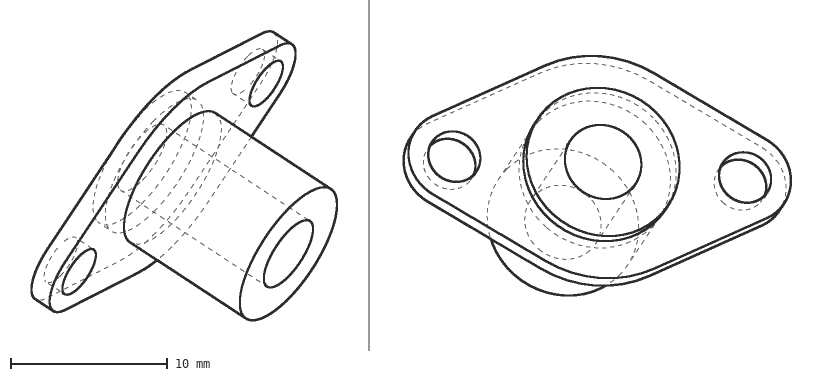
import cadquery as cq
import math

flange_length = 24.98
flange_height = 15.0
total_depth = 12.0

pilot_depth = 1.0
pilot_diameter = 10.0
flange_thickness = 1.5
barrel_diameter = 9.9
bore_diameter = 5.0
bolt_hole_diameter = 3.4
bolt_spacing = 18.98

center_radius = flange_height / 2
bolt_offset = bolt_spacing / 2
end_radius = flange_length / 2 - bolt_offset
barrel_depth = total_depth - pilot_depth - flange_thickness


def cylinder(diameter, start, depth):
    """Solid cylinder on the X axis."""
    return cq.Workplane("YZ", origin=(start, 0, 0)).circle(diameter / 2).extrude(depth)


def flange():
    """Diamond plate: a central arc and two end arcs joined by tangent lines."""
    normal_y = (center_radius - end_radius) / bolt_offset
    normal_z = math.sqrt(1 - normal_y**2)
    center_y = center_radius * normal_y
    center_z = center_radius * normal_z
    end_y = bolt_offset + end_radius * normal_y
    end_z = end_radius * normal_z
    return (
        cq.Workplane("YZ", origin=(pilot_depth, 0, 0))
        .moveTo(-center_y, center_z)
        .threePointArc((0, center_radius), (center_y, center_z))
        .lineTo(end_y, end_z)
        .threePointArc((flange_length / 2, 0), (end_y, -end_z))
        .lineTo(center_y, -center_z)
        .threePointArc((0, -center_radius), (-center_y, -center_z))
        .lineTo(-end_y, -end_z)
        .threePointArc((-flange_length / 2, 0), (-end_y, end_z))
        .close()
        .extrude(flange_thickness)
    )


def bolt_holes():
    """Two holes concentric with the flange ends."""
    return (
        cq.Workplane("YZ", origin=(pilot_depth, 0, 0))
        .pushPoints([(-bolt_offset, 0), (bolt_offset, 0)])
        .circle(bolt_hole_diameter / 2)
        .extrude(flange_thickness)
    )


pilot = cylinder(pilot_diameter, 0, pilot_depth)
barrel = cylinder(barrel_diameter, pilot_depth + flange_thickness, barrel_depth)
bore = cylinder(bore_diameter, 0, total_depth)

result = flange().union(pilot).union(barrel).cut(bore).cut(bolt_holes())